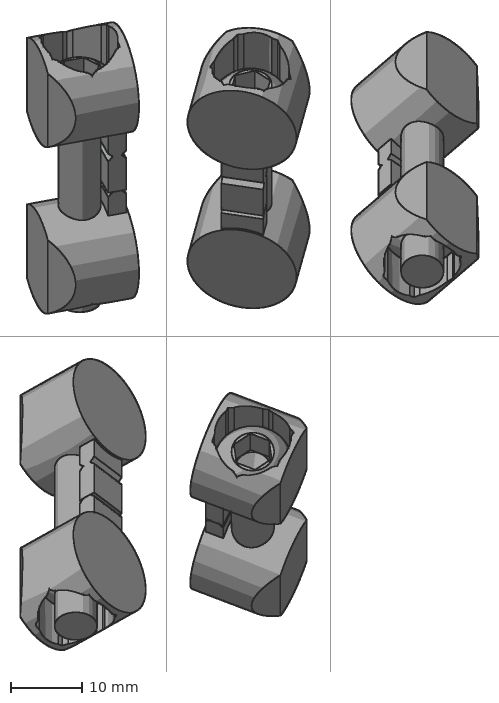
import cadquery as cq
import math

barrel_diameter = 15.7
barrel_length = 12.5
barrel_chamfer = 3.1
barrel_spacing = 28.3

pocket_flats = 10.0
pocket_diameter = 10.8
dome_radius = 6.0
dome_centre_z = -2.5

stud_diameter = 6.0
stud_protrusion = 0.5
socket_flats = 5.0
socket_depth = 5.0
socket_point_angle = 120.0
socket_turn = 30.0

leg_width = stud_diameter
leg_near_y = 3.25
leg_thickness = 2.7
leg_notch_depth = 0.68
leg_root_embed = 1.5
upper_leg_length = 9.9

barrel_radius = barrel_diameter / 2
stud_radius = stud_diameter / 2
pocket_radius = pocket_diameter / 2
stud_top_z = dome_centre_z + math.sqrt(dome_radius**2 - stud_radius**2)
stud_bottom_z = -barrel_spacing - barrel_radius - stud_protrusion
leg_root_z = -math.sqrt(barrel_radius**2 - (leg_width / 2) ** 2)
lower_leg_length = barrel_spacing + 2 * leg_root_z - upper_leg_length
notch_z = leg_root_z - lower_leg_length


def hex_prism(flats, height):
    """Hexagonal prism standing on the XY plane, with corners on the X axis."""
    across_corners = flats / math.cos(math.pi / 6)
    return cq.Workplane("XY").polygon(6, across_corners).extrude(height)


def barrel_blank():
    """Cylinder along Y with a flat chamfer on each side of its -Y end."""
    body = cq.Workplane("XZ").circle(barrel_radius).extrude(barrel_length / 2, both=True)
    end_y = -barrel_length / 2
    for side in (-1, 1):
        wedge = (
            cq.Workplane("XY")
            .moveTo(side * barrel_radius, end_y)
            .lineTo(side * (barrel_radius - barrel_chamfer), end_y)
            .lineTo(side * barrel_radius, end_y + barrel_chamfer)
            .close()
            .extrude(barrel_radius, both=True)
        )
        body = body.cut(wedge)
    return body


def pocket():
    """Cutter for the pocket: hexagon and circle combined, with a dome left standing in it."""
    height = barrel_radius - dome_centre_z
    round_part = cq.Workplane("XY").circle(pocket_radius).extrude(height)
    outline = hex_prism(pocket_flats, height).union(round_part)
    dome = cq.Workplane("XY").sphere(dome_radius).rotate((0, 0, 0), (1, 0, 0), 90)
    return outline.cut(dome).translate((0, 0, dome_centre_z))


def leg(length):
    """Spacer leg near the +Y end, hanging from inside the barrel, with V grooves to snap it at."""
    body = (
        cq.Workplane("XY")
        .box(leg_width, leg_thickness, length + leg_root_embed, centered=(True, False, False))
        .translate((0, leg_near_y, leg_root_z - length))
    )
    for face_y in (leg_near_y, leg_near_y + leg_thickness):
        groove = (
            cq.Workplane("YZ")
            .center(face_y, notch_z)
            .polygon(4, 2 * leg_notch_depth)
            .extrude(leg_width, both=True)
        )
        body = body.cut(groove)
    return body


def barrel(leg_length):
    """Barrel centred on the origin, pocket upwards and leg downwards."""
    bore = cq.Workplane("XY").circle(stud_radius).extrude(barrel_radius, both=True)
    return barrel_blank().union(leg(leg_length)).cut(pocket()).cut(bore)


def socket():
    """Cutter for the hexagon socket and its conical drill point, with the mouth at the stud top."""
    floor_z = stud_top_z - socket_depth
    floor_radius = socket_flats / 2
    point_depth = floor_radius / math.tan(math.radians(socket_point_angle / 2))
    recess = hex_prism(socket_flats, socket_depth).rotate((0, 0, 0), (0, 0, 1), socket_turn)
    cone = cq.Solid.makeCone(0, floor_radius, point_depth)
    point = cq.Workplane("XY").add(cone).translate((0, 0, -point_depth))
    return recess.union(point).translate((0, 0, floor_z))


def stud():
    """Round rod from the dome of the upper barrel to just below the lower barrel."""
    rod = (
        cq.Workplane("XY", origin=(0, 0, stud_bottom_z))
        .circle(stud_radius)
        .extrude(stud_top_z - stud_bottom_z)
    )
    return rod.cut(socket())


upper_barrel = barrel(upper_leg_length)
lower_barrel = barrel(lower_leg_length).mirror("XY").translate((0, 0, -barrel_spacing))
connecting_stud = stud()

result = cq.Compound.makeCompound(
    [
        upper_barrel.solids().val(),
        lower_barrel.solids().val(),
        connecting_stud.solids().val(),
    ]
)